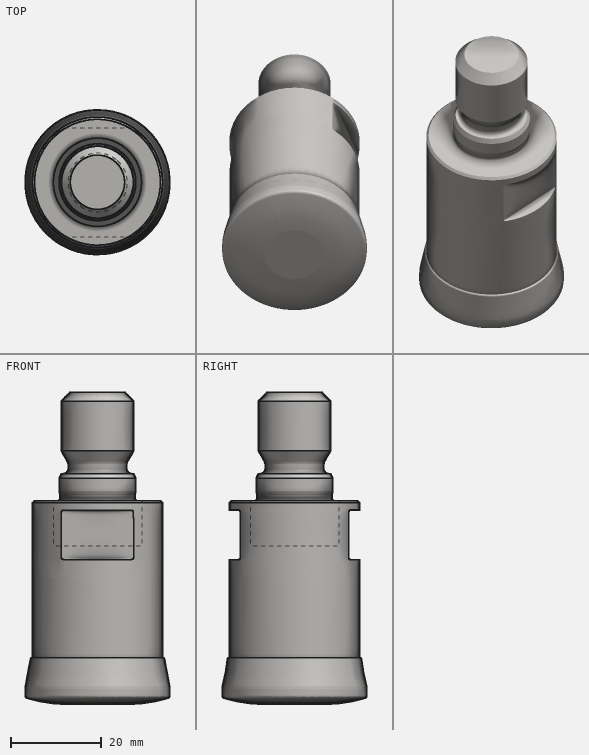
import cadquery as cq
import math

total_height = 69.0
housing_top = 45.0
foot_top = 10.35

foot_radius = 16.0
foot_shoulder_width = 0.35
foot_shoulder_fillet = 0.4
flare_bottom = 3.7
flare_blend = 4.0
foot_rim_height = 1.5
foot_rim_fillet = 0.7
sole_flat_radius = 6.5
sole_curve_run = foot_radius - sole_flat_radius
sole_curve_radius = (sole_curve_run**2 + foot_rim_height**2) / (2 * foot_rim_height)

barrel_radius = 28.82 / 2
lip_radius = 28.8 / 2
band_bottom = 27.8
band_top = 42.5
barrel_chamfer = 0.5

flat_distance = 12.0
flat_bottom = 32.0
flat_top = 42.9
flat_root_fillet = 0.4

socket_radius = 9.75
socket_depth = 10.0
socket_floor = housing_top - socket_depth
base_neck_radius = 16.6 / 2
base_fillet = 0.5
collar_radius = 17.0 / 2
collar_taper_bottom = 46.3
collar_bottom = 47.1
collar_top = 51.0
collar_chamfer_height = 1.0
collar_chamfer_angle = 30.0
collar_chamfer_radial = collar_chamfer_height * math.tan(math.radians(collar_chamfer_angle))
groove_radius = 13.0 / 2
groove_fillet = 1.0
head_radius = 16.0 / 2
head_bottom = 56.0
head_chamfer = 2.0
head_flank_angle = 60.0
flank_fillet = 1.0

match_tolerance = 0.001


def round_circle(body, radius, height, fillet_radius):
    """Fillet the circular edge of the given radius at the given height."""

    def is_wanted(edge):
        same_radius = math.isclose(edge.radius(), radius, abs_tol=match_tolerance)
        return same_radius and math.isclose(edge.Center().z, height, abs_tol=match_tolerance)

    return body.edges("%CIRCLE").filter(is_wanted).fillet(fillet_radius)


def make_foot_and_barrel():
    profile = (
        cq.Workplane("XZ")
        .moveTo(0, 0)
        .lineTo(sole_flat_radius, 0)
        .radiusArc((foot_radius, foot_rim_height), -sole_curve_radius)
        .lineTo(foot_radius, flare_bottom)
        .lineTo(barrel_radius + foot_shoulder_width, foot_top)
        .lineTo(barrel_radius, foot_top)
        .lineTo(barrel_radius, band_bottom)
        .lineTo(lip_radius, band_top)
        .lineTo(lip_radius, housing_top - barrel_chamfer)
        .lineTo(lip_radius - barrel_chamfer, housing_top)
        .lineTo(socket_radius, housing_top)
        .lineTo(socket_radius, socket_floor)
        .lineTo(0, socket_floor)
        .close()
    )
    body = profile.revolve(360, (0, 0, 0), (0, 1, 0))
    body = round_circle(body, barrel_radius + foot_shoulder_width, foot_top, foot_shoulder_fillet)
    body = round_circle(body, foot_radius, flare_bottom, flare_blend)
    return round_circle(body, foot_radius, foot_rim_height, foot_rim_fillet)


def make_flat_cutter(side):
    """Prism that mills one flat, with rounded root corners; side is -1 or +1 along Y."""
    outside = side * foot_radius
    root = side * flat_distance
    fillet_start = side * (flat_distance + flat_root_fillet)
    arc_radius = side * flat_root_fillet
    return (
        cq.Workplane("YZ")
        .moveTo(outside, flat_bottom)
        .lineTo(fillet_start, flat_bottom)
        .radiusArc((root, flat_bottom + flat_root_fillet), arc_radius)
        .lineTo(root, flat_top - flat_root_fillet)
        .radiusArc((fillet_start, flat_top), arc_radius)
        .lineTo(outside, flat_top)
        .close()
        .extrude(foot_radius, both=True)
    )


def make_housing():
    housing = make_foot_and_barrel()
    for side in (-1, 1):
        housing = housing.cut(make_flat_cutter(side))
    return housing


def make_stud():
    flank_height = (head_radius - groove_radius) * math.tan(math.radians(head_flank_angle))
    flank_bottom = head_bottom - flank_height
    profile = (
        cq.Workplane("XZ")
        .moveTo(0, socket_floor)
        .lineTo(socket_radius, socket_floor)
        .lineTo(socket_radius, housing_top)
        .lineTo(base_neck_radius + base_fillet, housing_top)
        .radiusArc((base_neck_radius, housing_top + base_fillet), base_fillet)
        .lineTo(base_neck_radius, collar_taper_bottom)
        .lineTo(collar_radius, collar_bottom)
        .lineTo(collar_radius, collar_top - collar_chamfer_height)
        .lineTo(collar_radius - collar_chamfer_radial, collar_top)
        .lineTo(groove_radius + groove_fillet, collar_top)
        .radiusArc((groove_radius, collar_top + groove_fillet), groove_fillet)
        .lineTo(groove_radius, flank_bottom)
        .lineTo(head_radius, head_bottom)
        .lineTo(head_radius, total_height - head_chamfer)
        .lineTo(head_radius - head_chamfer, total_height)
        .lineTo(0, total_height)
        .close()
    )
    stud = profile.revolve(360, (0, 0, 0), (0, 1, 0))
    return round_circle(stud, groove_radius, flank_bottom, flank_fillet)


housing = make_housing()
stud = make_stud()
result = cq.Compound.makeCompound([housing.val(), stud.val()])